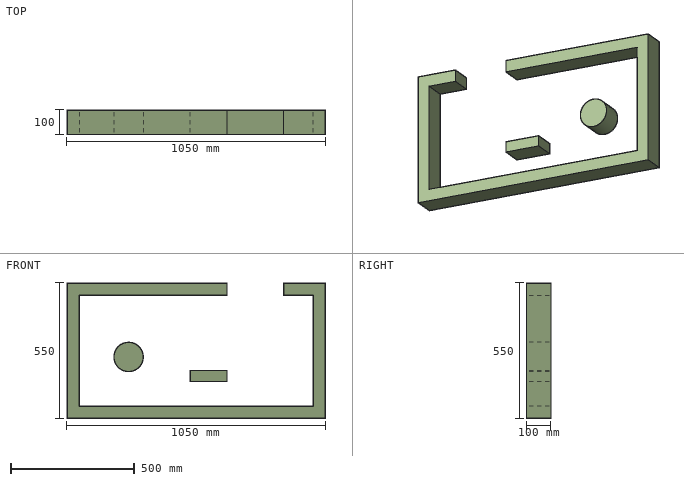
import cadquery as cq

frame_length = 1050.0
frame_height = 550.0
depth = 100.0
wall = 50.0

opening_start = 650.0
opening_width = 230.0

bar_diameter = 120.0
bar_x = 250.0
bar_z = 250.0

block_length = 150.0
block_height = 45.0
block_bottom = 150.0


def box_at(x, z, length, height):
    """Box over the full depth, with its lower left corner at (x, z)."""
    return cq.Workplane("XY").box(length, depth, height, centered=False).translate((x, 0, z))


def make_frame():
    """Rectangular frame whose top wall is interrupted by the opening."""
    outer = box_at(0, 0, frame_length, frame_height)
    inside = box_at(wall, wall, frame_length - 2 * wall, frame_height - 2 * wall)
    opening = box_at(opening_start, frame_height - wall, opening_width, wall)
    return outer.cut(inside).cut(opening)


def make_bar():
    """Cylinder lying along Y, as long as the frame is deep."""
    return cq.Workplane("XZ").center(bar_x, bar_z).circle(bar_diameter / 2).extrude(-depth)


def make_block():
    """Rectangular block spanning the full depth."""
    return box_at(opening_start - block_length, block_bottom, block_length, block_height)


frame = make_frame()
bar = make_bar()
block = make_block()

result = cq.Compound.makeCompound([frame.val(), bar.val(), block.val()])